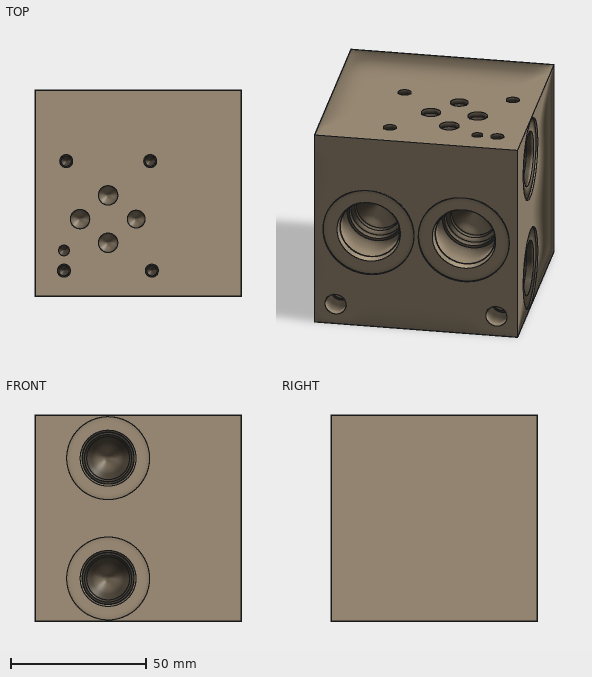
import cadquery as cq
import math

SIDE = 76.2
MIDDLE = SIDE / 2

DRILL_POINT_ANGLE = 118.0
DRILL_TIP_SLOPE = math.tan(math.radians(DRILL_POINT_ANGLE / 2))

FRONT_PORT_X = 27.0
FRONT_PORT_SPACING = 44.4

SIDE_PORT_SPACING = 35.7

MOUNT_EDGE_OFFSET = 7.9

FRONT_ROW_Y = 9.5
ROW_SPACING = 40.5
FRONT_ROW_X = 10.7
FRONT_ROW_PITCH = 32.45
REAR_ROW_INSET = 0.85
REAR_ROW_PITCH = 31.0
LOCATING_PIN_OFFSET = 7.5

DIAMOND_X = 27.0
DIAMOND_Y = 28.6
DIAMOND_HALF_WIDTH = 10.4
DIAMOND_HALF_HEIGHT = 8.8

SPOTFACE_DEPTH = 0.7
SEAL_SEAT_DEPTH = 3.2
TAP_DRILL_RUNOUT = 3.05
PASSAGE_LENGTH = 2.3


def drill_tip_length(large_diameter, small_diameter=0.0):
    """Depth over which a drill point narrows from one diameter to another."""
    return (large_diameter - small_diameter) / 2 / DRILL_TIP_SLOPE


def port_steps(spotface, seat_mouth, seat_end, thread, thread_depth, tap_drill, passage):
    """Steps of a straight-thread port; all arguments but thread_depth are diameters."""
    tap_depth = thread_depth + TAP_DRILL_RUNOUT
    shoulder_depth = tap_depth + drill_tip_length(tap_drill, passage)
    return [
        (spotface, spotface, SPOTFACE_DEPTH),
        (seat_mouth, seat_end, SEAL_SEAT_DEPTH),
        (thread, thread, thread_depth),
        (tap_drill, tap_drill, tap_depth),
        (tap_drill, passage, shoulder_depth),
        (passage, passage, shoulder_depth + PASSAGE_LENGTH),
    ]


FRONT_PORT_STEPS = port_steps(
    spotface=30.6,
    seat_mouth=20.65,
    seat_end=19.3,
    thread=19.05,
    thread_depth=14.85,
    tap_drill=17.45,
    passage=15.85,
)
SIDE_PORT_STEPS = port_steps(
    spotface=34.1,
    seat_mouth=23.8,
    seat_end=22.55,
    thread=22.25,
    thread_depth=17.15,
    tap_drill=20.4,
    passage=17.5,
)
MOUNT_STEPS = [
    (7.9, 7.9, 12.2),
    (6.55, 6.55, 15.25),
]
BOLT_STEPS = [
    (4.8, 4.8, 12.6),
    (3.8, 3.8, 16.0),
]
LOCATING_PIN_STEPS = [(4.0, 4.0, 5.3)]
VALVE_PORT_STEPS = [(7.2, 7.2, 2.0)]
TANK_VALVE_PORT_STEPS = [(6.55, 6.55, 2.0)]


def stepped_hole(steps, position, inward):
    """Solid to cut for a stepped hole that ends in a conical drill point."""
    outline = [(0, 0)]
    start_depth = 0
    for start_diameter, end_diameter, end_depth in steps:
        step_start = (start_diameter / 2, start_depth)
        if step_start != outline[-1]:
            outline.append(step_start)
        outline.append((end_diameter / 2, end_depth))
        start_depth = end_depth
    drill_diameter = steps[-1][1]
    outline.append((0, start_depth + drill_tip_length(drill_diameter)))

    inward_vector = cq.Vector(*inward)
    radial = cq.Vector(inward[1], inward[2], inward[0])
    plane = cq.Plane(origin=position, xDir=radial, normal=radial.cross(inward_vector))
    return cq.Workplane(plane).polyline(outline).close().revolve(360, (0, 0), (0, 1))


def front_port_cutters():
    for z in (MIDDLE - FRONT_PORT_SPACING / 2, MIDDLE + FRONT_PORT_SPACING / 2):
        yield stepped_hole(FRONT_PORT_STEPS, (FRONT_PORT_X, 0, z), (0, 1, 0))


def side_port_cutters():
    for y in (MIDDLE - SIDE_PORT_SPACING / 2, MIDDLE + SIDE_PORT_SPACING / 2):
        yield stepped_hole(SIDE_PORT_STEPS, (0, y, MIDDLE), (1, 0, 0))


def mounting_hole_cutters():
    for y in (MOUNT_EDGE_OFFSET, SIDE - MOUNT_EDGE_OFFSET):
        yield stepped_hole(MOUNT_STEPS, (0, y, MOUNT_EDGE_OFFSET), (1, 0, 0))


def top_hole(steps, x, y):
    return stepped_hole(steps, (x, y, SIDE), (0, 0, -1))


def valve_interface_cutters():
    rear_row_x = FRONT_ROW_X + REAR_ROW_INSET
    rear_row_y = FRONT_ROW_Y + ROW_SPACING
    bolt_centres = [
        (FRONT_ROW_X, FRONT_ROW_Y),
        (FRONT_ROW_X + FRONT_ROW_PITCH, FRONT_ROW_Y),
        (rear_row_x, rear_row_y),
        (rear_row_x + REAR_ROW_PITCH, rear_row_y),
    ]
    for x, y in bolt_centres:
        yield top_hole(BOLT_STEPS, x, y)

    yield top_hole(LOCATING_PIN_STEPS, FRONT_ROW_X, FRONT_ROW_Y + LOCATING_PIN_OFFSET)

    yield top_hole(VALVE_PORT_STEPS, DIAMOND_X - DIAMOND_HALF_WIDTH, DIAMOND_Y)
    yield top_hole(TANK_VALVE_PORT_STEPS, DIAMOND_X + DIAMOND_HALF_WIDTH, DIAMOND_Y)
    for y in (DIAMOND_Y - DIAMOND_HALF_HEIGHT, DIAMOND_Y + DIAMOND_HALF_HEIGHT):
        yield top_hole(VALVE_PORT_STEPS, DIAMOND_X, y)


body = cq.Workplane("XY").box(SIDE, SIDE, SIDE, centered=False)
for cutters in (
    front_port_cutters(),
    side_port_cutters(),
    mounting_hole_cutters(),
    valve_interface_cutters(),
):
    for cutter in cutters:
        body = body.cut(cutter)

result = body